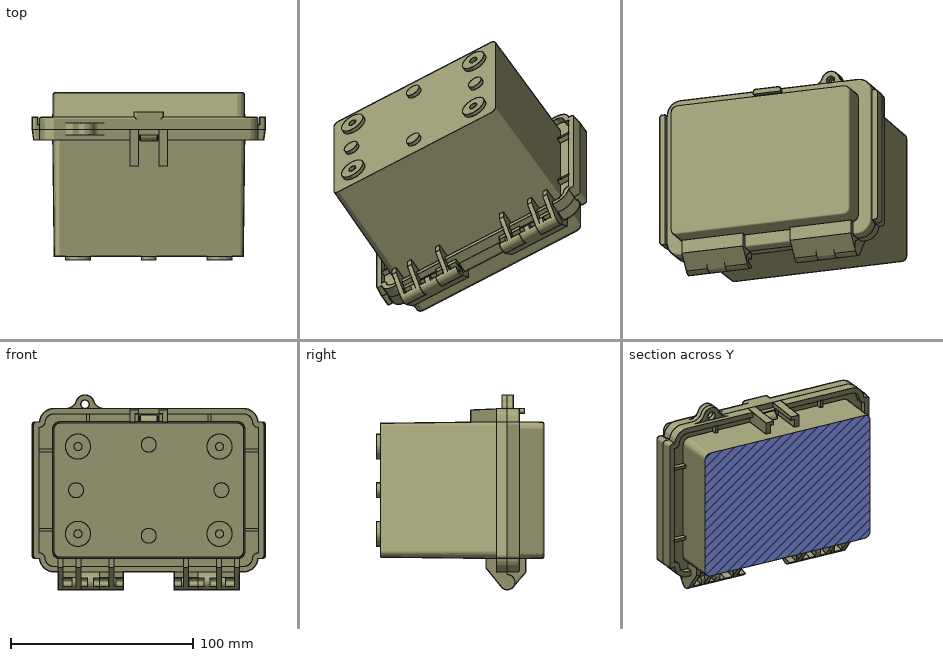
import cadquery as cq
import math


box_depth = 69.7
lid_depth = 20.2
shell_width = 105.6
shell_height = 75.3
shell_corner = 4.0
draft_angle = 0.7
lid_edge_round = 1.3

flange_width = 120.0
flange_height = 89.8
flange_corner = 8.0
base_flange_depth = 5.9
lid_flange_depth = 6.8
lip_thickness = 3.0
pocket_floor = 2.6
rib_thickness = 1.6
rib_setback = 0.4
side_rib_z = 21.7
top_rib_x = 33.3

panel_width = 128.0
panel_height = 75.0
panel_corner = 1.6
panel_end_width = 126.4
panel_web_depth = 2.6
panel_lip_thickness = 3.2

foot_height = 2.1
large_foot_diameter = 13.8
large_foot_hole = 4.4
large_foot_spacing_x = 77.7
large_foot_spacing_z = 47.9
small_foot_diameter = 8.2
small_foot_spacing_x = 79.8
small_foot_spacing_z = 50.0

ear_x = -35.0
ear_hole_z = 47.2
ear_radius = 5.1
ear_hole_diameter = 4.5
ear_half_base = 10.4
lid_ear_depth = 3.4
base_ear_depth = 3.0

bracket_inner_x = 5.5
bracket_outer_x = 10.4
bracket_web = 2.8
bracket_end_drop = 0.8
bracket_flange = 2.1
bracket_reach = 20.1
bar_half_width = 5.2
bar_radius = 3.5
bar_top_z = 41.2
bar_end_chamfer = 0.8
bar_wall_depth = 3.0
bar_wall_top_z = 41.7
catch_width = 16.0
catch_reach = 9.6
catch_thickness = 2.7
catch_round = 1.5

hinge_axis_z = -50.5
knuckle_radius = 4.2
hinge_inner_x = 13.9
hinge_outer_x = 49.7
lid_knuckle_inner_x = 26.9
lid_knuckle_outer_x = 37.3
web_width = 2.6
web_inner_edges = [19.2, lid_knuckle_outer_x, hinge_outer_x - web_width]
web_corner = (-11.8, -42.5)
leaf_corner = (10.2, -45.0)
base_plate_y = -3.4
lid_neck_radius = 5.0
base_pockets = [(hinge_inner_x, 18.1), (22.1, lid_knuckle_inner_x), (42.2, 47.0)]
lid_pockets = [(lid_knuckle_inner_x, 30.4), (33.5, lid_knuckle_outer_x)]
pocket_bottom_radius = 1.5
pocket_mouth_half = 2.4
joint_overlap = 1.0

flange_bottom_z = -flange_height / 2
shell_bottom_z = -shell_height / 2


def block(x0, x1, y0, y1, z0, z1):
    """Axis-aligned box between two opposite corners."""
    return cq.Workplane("XY").box(x1 - x0, y1 - y0, z1 - z0, centered=False).translate((x0, y0, z0))


def plane_at(y, toward_lid):
    """Sketch plane at position y whose extrusions run toward the lid or toward the box bottom."""
    if toward_lid:
        return cq.Workplane(cq.Plane((0, y, 0), (-1, 0, 0), (0, 1, 0)))
    return cq.Workplane(cq.Plane((0, y, 0), (1, 0, 0), (0, -1, 0)))


def rounded_plate(width, height, radius, depth, toward_lid):
    return plane_at(0, toward_lid).rect(width, height).extrude(depth).edges("|Y").fillet(radius)


def drafted_shell(depth, toward_lid):
    """Solid with rounded corners that narrows away from the opening."""
    outline = cq.Sketch().rect(shell_width, shell_height).vertices().fillet(shell_corner)
    return plane_at(0, toward_lid).placeSketch(outline).extrude(depth, taper=draft_angle)


def along_x(profile, x0, x1):
    """Extrude a closed Y-Z profile between two X positions."""
    return profile.extrude(x1 - x0).translate((x0, 0, 0))


def both_sides(body):
    return body.union(body.mirror("YZ"))


def ear(depth, toward_lid):
    """Padlock ear that flows into the flange top through concave arcs."""
    top = flange_height / 2
    drop = ear_hole_z - top
    blend = (ear_half_base**2 + drop**2 - ear_radius**2) / (2 * (ear_radius + drop))
    blend_z = top + blend
    share = ear_radius / (ear_radius + blend)
    touch_x = ear_half_base * share
    touch_z = ear_hole_z + (blend_z - ear_hole_z) * share
    half_turn = math.atan2(touch_x - ear_half_base, blend_z - touch_z) / 2
    mid_x = ear_half_base + blend * math.sin(half_turn)
    mid_z = blend_z - blend * math.cos(half_turn)
    profile = (
        cq.Workplane("XZ")
        .moveTo(-ear_half_base, top)
        .threePointArc((-mid_x, mid_z), (-touch_x, touch_z))
        .threePointArc((0, ear_hole_z + ear_radius), (touch_x, touch_z))
        .threePointArc((mid_x, mid_z), (ear_half_base, top))
        .lineTo(ear_half_base, top - lip_thickness)
        .lineTo(-ear_half_base, top - lip_thickness)
        .close()
        .extrude(-depth if toward_lid else depth)
    )
    return profile.translate((ear_x, 0, 0))


def ear_hole():
    hole = cq.Workplane("XZ").center(ear_x, ear_hole_z).circle(ear_hole_diameter / 2)
    return hole.extrude(lid_flange_depth, both=True)


def slant_contact(corner):
    """Point where the slanted edge from a corner touches the knuckle circle on its lower side."""
    dy = corner[0]
    dz = corner[1] - hinge_axis_z
    turn = math.acos(knuckle_radius / math.hypot(dy, dz))
    angle = math.atan2(dz, dy) + (turn if dy < 0 else -turn)
    return (knuckle_radius * math.cos(angle), hinge_axis_z + knuckle_radius * math.sin(angle))


def hinge_leaf(corner, x0, x1):
    """Triangular plate on one side of y = 0, ending on the knuckle circle."""
    contact = slant_contact(corner)
    lowest = (0, hinge_axis_z - knuckle_radius)
    half_angle = (math.atan2(contact[1] - hinge_axis_z, abs(contact[0])) - math.pi / 2) / 2
    middle = (
        math.copysign(knuckle_radius * math.cos(half_angle), corner[0]),
        hinge_axis_z + knuckle_radius * math.sin(half_angle),
    )
    profile = (
        cq.Workplane("YZ")
        .moveTo(0, shell_bottom_z + joint_overlap)
        .lineTo(corner[0], shell_bottom_z + joint_overlap)
        .lineTo(*corner)
        .lineTo(*contact)
        .threePointArc(middle, lowest)
        .close()
    )
    return along_x(profile, x0, x1)


def knuckle(x0, x1):
    return along_x(cq.Workplane("YZ").center(0, hinge_axis_z).circle(knuckle_radius), x0, x1)


def knuckle_pocket(x0, x1):
    """Flared slot with a round bottom, open toward the box."""
    mouth_y = -knuckle_radius
    profile = (
        cq.Workplane("YZ")
        .center(0, hinge_axis_z)
        .moveTo(mouth_y, pocket_mouth_half)
        .lineTo(0, pocket_bottom_radius)
        .threePointArc((pocket_bottom_radius, 0), (0, -pocket_bottom_radius))
        .lineTo(mouth_y, -pocket_mouth_half)
        .close()
    )
    return along_x(profile, x0, x1)


def base_hinge():
    """Box half of the right-hand hinge: two plated knuckles and three webs."""
    hinge = None
    for x0, x1 in [(hinge_inner_x, lid_knuckle_inner_x), (lid_knuckle_outer_x, hinge_outer_x)]:
        plate = block(x0, x1, base_plate_y, 0, hinge_axis_z, flange_bottom_z + joint_overlap)
        section = knuckle(x0, x1).union(plate)
        hinge = section if hinge is None else hinge.union(section)
    for x0, x1 in base_pockets:
        hinge = hinge.cut(knuckle_pocket(x0, x1))
    for x in web_inner_edges:
        hinge = hinge.union(hinge_leaf(web_corner, x, x + web_width))
    return hinge


def lid_neck():
    """Concave fillet from just under the box flange into the lid knuckle."""
    rise = flange_bottom_z - hinge_axis_z
    reach = knuckle_radius + lid_neck_radius
    centre_y = -math.sqrt(reach**2 - rise**2)
    share = knuckle_radius / reach
    contact = (centre_y * share, hinge_axis_z + rise * share)
    half_angle = math.atan2(-rise, -centre_y) / 2
    middle = (
        centre_y + lid_neck_radius * math.cos(half_angle),
        flange_bottom_z + lid_neck_radius * math.sin(half_angle),
    )
    profile = (
        cq.Workplane("YZ")
        .moveTo(0, flange_bottom_z)
        .lineTo(centre_y + lid_neck_radius, flange_bottom_z)
        .threePointArc(middle, contact)
        .lineTo(0, hinge_axis_z)
        .close()
    )
    return along_x(profile, lid_knuckle_inner_x, lid_knuckle_outer_x)


def lid_hinge():
    """Lid half of the right-hand hinge: one leaf with a knuckle in its middle."""
    hinge = hinge_leaf(leaf_corner, hinge_inner_x, hinge_outer_x)
    hinge = hinge.cut(knuckle(hinge_inner_x, hinge_outer_x))
    hinge = hinge.union(knuckle(lid_knuckle_inner_x, lid_knuckle_outer_x)).union(lid_neck())
    for x0, x1 in lid_pockets:
        hinge = hinge.cut(knuckle_pocket(x0, x1))
    return hinge


def base_panels():
    """Plate spanning both side panels, with its two side faces leaning inward away from the lid."""
    profile = (
        cq.Workplane("XY")
        .moveTo(-panel_width / 2, 0)
        .lineTo(panel_width / 2, 0)
        .lineTo(panel_end_width / 2, -base_flange_depth)
        .lineTo(-panel_end_width / 2, -base_flange_depth)
        .close()
        .extrude(panel_height / 2, both=True)
    )
    return profile.edges("not (|X or |Z)").fillet(panel_corner)


def base_flange():
    """Flange with a thin lip, a sunken floor and stiffening ribs."""
    plate = rounded_plate(flange_width, flange_height, flange_corner, base_flange_depth, False)
    flange = plate.union(base_panels())
    pocket_outline = flange.faces("<Y").wires().vals()[0].offset2D(-lip_thickness)[0]
    pocket_depth = base_flange_depth - pocket_floor
    pocket = cq.Workplane(cq.Solid.extrudeLinear(pocket_outline, [], cq.Vector(0, pocket_depth, 0)))
    rib_front = rib_setback - base_flange_depth
    half = rib_thickness / 2
    side_end = panel_width / 2 - lip_thickness
    top_end = flange_height / 2 - lip_thickness / 2
    ribs = block(-side_end, side_end, rib_front, 0, side_rib_z - half, side_rib_z + half)
    ribs = ribs.union(ribs.mirror("XY"))
    for x in (-top_rib_x, top_rib_x):
        ribs = ribs.union(block(x - half, x + half, rib_front, 0, 0, top_end))
    return flange.cut(pocket).union(ribs)


def latch_bracket():
    """L-shaped arm beside the latch on the +X side, its top sloping down toward the free end."""
    top = flange_height / 2
    end_top = top - bracket_end_drop
    arm = (
        cq.Workplane("YZ")
        .moveTo(0, 0)
        .lineTo(0, top)
        .lineTo(-bracket_reach, end_top)
        .lineTo(-bracket_reach, 0)
        .close()
    )
    under = block(
        bracket_inner_x, bracket_outer_x - bracket_web, -bracket_reach, 0, 0, end_top - bracket_flange
    )
    return along_x(arm, bracket_inner_x, bracket_outer_x).cut(under)


def latch_bar():
    """Quarter-round bar between the brackets, in front of a low wall."""
    low_z = bar_top_z - bar_radius
    bar = along_x(
        cq.Workplane("YZ").center(-bar_wall_depth, low_z).circle(bar_radius), -bar_half_width, bar_half_width
    )
    bar = bar.edges("%CIRCLE").chamfer(bar_end_chamfer)
    quarter = block(
        -bar_half_width, bar_half_width, -bar_wall_depth - bar_radius, -bar_wall_depth, low_z, bar_top_z
    )
    wall = block(-bracket_inner_x, bracket_inner_x, -bar_wall_depth, 0, 0, bar_wall_top_z)
    return wall.union(bar.intersect(quarter))


def discs(points, diameter):
    """Discs of foot height standing on the box bottom."""
    return plane_at(-box_depth, False).pushPoints(points).circle(diameter / 2).extrude(foot_height)


def feet():
    """Four drilled corner feet and four plain feet midway along the sides."""
    corners = [
        (sx * large_foot_spacing_x / 2, sz * large_foot_spacing_z / 2) for sx in (-1, 1) for sz in (-1, 1)
    ]
    middles = [(s * small_foot_spacing_x / 2, 0) for s in (-1, 1)]
    middles += [(0, s * small_foot_spacing_z / 2) for s in (-1, 1)]
    large_feet = discs(corners, large_foot_diameter).cut(discs(corners, large_foot_hole))
    return large_feet.union(discs(middles, small_foot_diameter))


def make_base():
    notch = block(
        -bracket_outer_x, bracket_outer_x, -base_flange_depth, 0, bar_wall_top_z, flange_height / 2
    )
    base = base_flange().cut(notch)
    base = base.union(both_sides(latch_bracket())).union(latch_bar())
    base = base.union(both_sides(base_hinge()))
    base = base.union(ear(base_ear_depth, False)).cut(ear_hole())
    return base.union(drafted_shell(box_depth, False)).union(feet())


def lid_flange():
    """Lid flange with a raised lip along each side panel."""
    plate = rounded_plate(flange_width, flange_height, flange_corner, lid_flange_depth, True)
    plate = plate.faces(">Y").edges().fillet(lid_edge_round)
    panels = rounded_plate(panel_width, panel_height, panel_corner, lid_flange_depth, True)
    inner_x = panel_width / 2 - panel_lip_thickness
    half = panel_height / 2
    panels = panels.cut(block(-inner_x, inner_x, panel_web_depth, lid_flange_depth, -half, half))
    return plate.union(panels)


def lid_catch():
    """Tongue that the latch hooks over, rounded along its two upper edges."""
    top = flange_height / 2
    tongue = block(-catch_width / 2, catch_width / 2, 0, catch_reach, top - catch_thickness, top)
    return tongue.edges("|Y and >Z").fillet(catch_round)


def make_lid():
    dome = drafted_shell(lid_depth, True).faces(">Y").edges().fillet(lid_edge_round)
    lid = dome.union(lid_flange()).union(lid_catch())
    lid = lid.union(both_sides(lid_hinge()))
    return lid.union(ear(lid_ear_depth, True)).cut(ear_hole())


base = make_base()
lid = make_lid()
result = cq.Compound.makeCompound([base.solids().val(), lid.solids().val()])